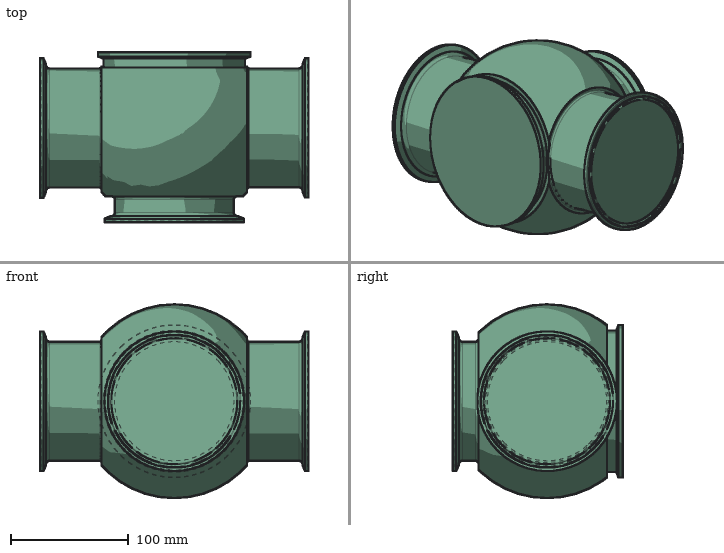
import cadquery as cq

ball_radius = 82.5
side_flat = 62.0
front_flat = 58.3
back_flat = 51.2

side_reach = 114.3
front_reach = 80.2
back_reach = 64.5

tube_radius = 101.5 / 2
clamp_radius = 118.9 / 2
clamp_rim = 3.0
clamp_cone_radius = 54.2
clamp_cone_end = 5.3
clamp_neck_end = 8.2
side_root_fillet = 1.4
front_root_fillet = 2.5

groove_radius = 54.9
groove_half_width = 1.4
groove_depth = 1.1
groove_lip_fillet = 0.5

back_neck_radius = 120.7 / 2
back_rim_radius = 130.0 / 2
back_rim = 3.7
back_cone_end = 5.5


def ball_body():
    """Sphere trimmed by four flats."""
    sphere = cq.Workplane("XY").sphere(ball_radius)
    trim = (
        cq.Workplane("XY")
        .box(2 * side_flat, front_flat + back_flat, 2 * ball_radius)
        .translate((0, (back_flat - front_flat) / 2, 0))
    )
    return sphere.intersect(trim)


def gasket_groove(reach):
    """Ring that cuts a round-bottomed groove into a port face at +X."""
    return (
        cq.Workplane("XY")
        .moveTo(reach, groove_radius - groove_half_width)
        .threePointArc(
            (reach - groove_depth, groove_radius),
            (reach, groove_radius + groove_half_width),
        )
        .close()
        .revolve(360, (0, 0, 0), (1, 0, 0))
    )


def clamp_port(reach, flat, root_fillet):
    """Tube with a clamp flange, pointing along +X and starting at the ball centre."""
    root_radius = tube_radius + root_fillet
    port = (
        cq.Workplane("XY")
        .moveTo(0, 0)
        .lineTo(0, root_radius)
        .lineTo(flat, root_radius)
        .radiusArc((flat + root_fillet, tube_radius), -root_fillet)
        .lineTo(reach - clamp_neck_end, tube_radius)
        .tangentArcPoint((reach - clamp_cone_end, clamp_cone_radius), relative=False)
        .lineTo(reach - clamp_rim, clamp_radius)
        .lineTo(reach, clamp_radius)
        .lineTo(reach, 0)
        .close()
        .revolve(360, (0, 0, 0), (1, 0, 0))
        .cut(gasket_groove(reach))
    )
    lip_reach = (groove_radius + clamp_radius) / 2
    lip_zone = cq.selectors.BoxSelector(
        (reach - groove_depth / 2, -lip_reach, -lip_reach),
        (reach + groove_depth / 2, lip_reach, lip_reach),
    )
    return port.edges(lip_zone).fillet(groove_lip_fillet)


def back_port():
    """Short wide neck and flange, pointing along +Y."""
    return (
        cq.Workplane("XY")
        .moveTo(0, 0)
        .lineTo(back_neck_radius, 0)
        .lineTo(back_neck_radius, back_reach - back_cone_end)
        .lineTo(back_rim_radius, back_reach - back_rim)
        .lineTo(back_rim_radius, back_reach)
        .lineTo(0, back_reach)
        .close()
        .revolve(360, (0, 0, 0), (0, 1, 0))
    )


def turned(port, angle):
    """Turn a +X port about the vertical axis."""
    return port.rotate((0, 0, 0), (0, 0, 1), angle)


side_port = clamp_port(side_reach, side_flat, side_root_fillet)
front_port = clamp_port(front_reach, front_flat, front_root_fillet)

back_neck = back_port().intersect(
    cq.Workplane("XZ", origin=(0, back_flat, 0)).circle(back_rim_radius).extrude(-back_reach)
)

result = (
    ball_body()
    .union(side_port)
    .union(turned(side_port, 180))
    .union(turned(front_port, -90))
    .union(back_neck)
)